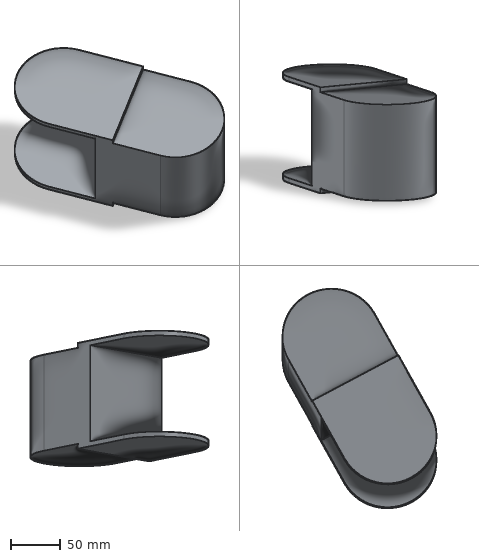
import cadquery as cq

length = 220.0
width = 100.0
height = 110.0
plate_thickness = 5.0
plate_length = 119.0
gap_depth = 100.0

end_radius = width / 2
block_height = height - 2 * plate_thickness
block_length = length - gap_depth


def round_ended_slab(slab_length, thickness, bottom):
    """Slab from X = 0 with a full-round end at -X and a square end at +X."""
    return (
        cq.Workplane("XY")
        .workplane(offset=bottom)
        .moveTo(slab_length, -end_radius)
        .lineTo(end_radius, -end_radius)
        .threePointArc((0, 0), (end_radius, end_radius))
        .lineTo(slab_length, end_radius)
        .close()
        .extrude(thickness)
    )


block = (
    round_ended_slab(block_length, block_height, plate_thickness)
    .rotate((0, 0, 0), (0, 0, 1), 180)
    .translate((length, 0, 0))
)

bottom_plate = round_ended_slab(plate_length, plate_thickness, 0)
top_plate = round_ended_slab(plate_length, plate_thickness, height - plate_thickness)

result = block.union(bottom_plate).union(top_plate)